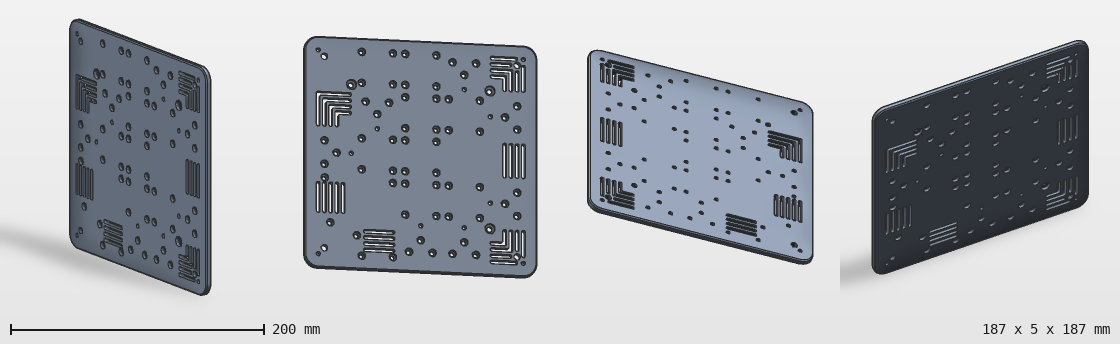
import cadquery as cq
import math

plate_side = 187.0
plate_thickness = 5.0
corner_radius = 11.0
edge_chamfer = 1.0
front_y = -plate_thickness / 2

module = 35.0
square_side = 25.0
half_square = square_side / 2
outer_lane = 2 * module + half_square

slot_width = 3.0
angle_inner_radius = 1.0
slot_pitch = module / 7
lanes = [outer_lane - i * slot_pitch for i in range(5)]
plain_bank_length = 22.0
lane_1_slot_end = 76.3
lane_2_slot_end = 71.6

small_hole_diameter = 3.2
pin_hole_diameter = 3.4
corner_hole_diameter = 5.0
screw_head_diameter = 6.0
large_hole_diameter = 4.1
large_head_diameter = 8.0
head_depth = 3.0
large_screw_line = 55.7

mount_spread = 18.9
mount_apex_offset = 9.7
mount_pin_offset = 21.5
mount_base = lanes[1]
inset_mount_base = 42.5

lone_small_screws = [
    (-module + half_square, -module + half_square),
    (-module - half_square, -outer_lane),
    (-module + half_square, -outer_lane),
    (-77.2, -20.5),
]
lone_screws = [(-72.7, -56.7), (-51.5, -66.2)]


def through_cutter(sketch):
    """Extrude a front-plane sketch through the whole plate."""
    return sketch.extrude(plate_thickness / 2, both=True)


def holes(centers, diameter):
    return through_cutter(cq.Workplane("XZ").pushPoints(centers).circle(diameter / 2))


def counterbores(centers, diameter, depth):
    """Blind recesses sunk into the front face."""
    front = cq.Workplane("XZ", origin=(0, front_y, 0))
    return front.pushPoints(centers).circle(diameter / 2).extrude(-depth)


def slot(start, end):
    """Round-ended slot between two end centres lying on a line parallel to X or Z."""
    middle = ((start[0] + end[0]) / 2, (start[1] + end[1]) / 2)
    length = abs(end[0] - start[0]) + abs(end[1] - start[1]) + slot_width
    angle = 0 if start[1] == end[1] else 90
    return through_cutter(cq.Workplane("XZ").center(*middle).slot2D(length, slot_width, angle))


def square_corners(centre_x, centre_z):
    offsets = (-half_square, half_square)
    return [(centre_x + dx, centre_z + dz) for dx in offsets for dz in offsets]


def mount_points(base, inward):
    """Screws and pin of a mount: `base` is midway between the outer screws, `inward` points to its pin."""
    base_x, base_z = base
    in_x, in_z = inward

    def place(side, reach):
        return (base_x + reach * in_x + side * in_z, base_z + reach * in_z + side * in_x)

    screws = [
        place(-mount_spread / 2, 0),
        place(mount_spread / 2, 0),
        place(0, mount_apex_offset),
    ]
    return screws, place(0, mount_pin_offset)


def vertical_bank(x_positions, z_start, z_end):
    return [slot((x, z_start), (x, z_end)) for x in x_positions]


def horizontal_bank(z_positions, x_start, x_end):
    return [slot((x_start, z), (x_end, z)) for z in z_positions]


def angle_slot(corner, x_end, z_end):
    """L-shaped slot: a horizontal and a vertical leg meeting at `corner`, eased in the inner angle."""
    corner_x, corner_z = corner
    legs = slot(corner, (x_end, corner_z)).union(slot(corner, (corner_x, z_end)))
    inner_x = corner_x + math.copysign(slot_width / 2, x_end - corner_x)
    inner_z = corner_z + math.copysign(slot_width / 2, z_end - corner_z)
    inner_edge = cq.selectors.NearestToPointSelector((inner_x, 0, inner_z))
    return legs.edges("|Y").edges(inner_edge).fillet(angle_inner_radius)


def right_corner_slots(z_sign):
    """Slots of a right-hand corner; the two outer lanes stop short of the corner holes."""
    inner_end = 2 * module - half_square
    cutters = []
    for lane, lane_end in ((lanes[0], lane_1_slot_end), (lanes[1], lane_2_slot_end)):
        cutters.append(slot((inner_end, z_sign * lane), (lane_end, z_sign * lane)))
        cutters.append(slot((lane, z_sign * inner_end), (lane, z_sign * lane_end)))
    for lane in lanes[2:4]:
        cutters.append(angle_slot((lane, z_sign * lane), inner_end, z_sign * inner_end))
    return cutters


square_centres = [
    (-module, 2 * module),
    (0, 2 * module),
    (0, module),
    (module, module),
    (-module, 0),
    (0, 0),
    (0, -module),
    (module, -module),
]
small_screws = list(lone_small_screws)
for centre in square_centres:
    small_screws += square_corners(*centre)

mounts = [
    ((module, mount_base), (0, -1)),
    ((mount_base, module), (-1, 0)),
    ((mount_base, -module), (-1, 0)),
    ((module, -mount_base), (0, 1)),
    ((0, -mount_base), (0, 1)),
    ((-mount_base, 0), (1, 0)),
    ((-module, inset_mount_base), (0, -1)),
]
screws = list(lone_screws)
pins = []
for base, inward in mounts:
    mount_screws, mount_pin = mount_points(base, inward)
    screws += mount_screws
    pins.append(mount_pin)

signs = (-1, 1)
corners = [(sign_x, sign_z) for sign_x in signs for sign_z in signs]
small_holes = [(sign_x * lanes[0], sign_z * lanes[0]) for sign_x, sign_z in corners]
corner_holes = [(sign_x * lanes[1], sign_z * lanes[1]) for sign_x, sign_z in corners]
large_screws = [
    (-large_screw_line, large_screw_line),
    (large_screw_line, large_screw_line),
    (large_screw_line, -large_screw_line),
]

hole_cutters = [
    holes(small_holes + small_screws, small_hole_diameter),
    holes(pins + screws, pin_hole_diameter),
    holes(corner_holes, corner_hole_diameter),
    holes(large_screws, large_hole_diameter),
    counterbores(small_screws + screws, screw_head_diameter, head_depth),
    counterbores(large_screws, large_head_diameter, head_depth),
]

slot_cutters = right_corner_slots(1) + right_corner_slots(-1)

slot_cutters += vertical_bank(lanes[:4], -half_square, half_square)
left_bank_bottom = -module - half_square
slot_cutters += vertical_bank([-x for x in lanes], left_bank_bottom, left_bank_bottom + plain_bank_length)
bottom_bank_right = -module + half_square
slot_cutters += horizontal_bank(
    [-z for z in lanes[1:]], bottom_bank_right - plain_bank_length, bottom_bank_right
)

for i, lane in enumerate(lanes[:4]):
    corner = (-lane, module + half_square - i * slot_pitch)
    slot_cutters.append(angle_slot(corner, -2 * module + half_square, module - half_square))

result = (
    cq.Workplane("XY")
    .box(plate_side, plate_thickness, plate_side)
    .edges("|Y")
    .fillet(corner_radius)
    .faces("<Y or >Y")
    .chamfer(edge_chamfer)
)
for cutter in hole_cutters + slot_cutters:
    result = result.cut(cutter)